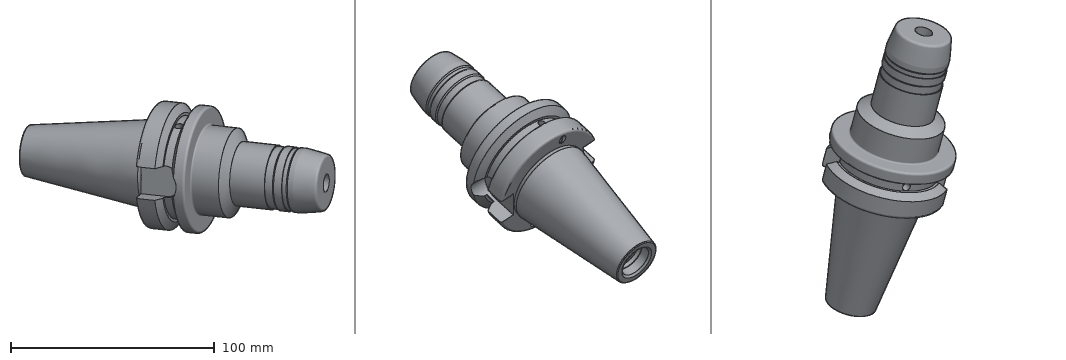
import cadquery as cq
import math

length = 155.4

gauge_radius = 44.5 / 2
neck_radius = 44.0 / 2
taper_slope = 7 / 48
taper_end = 65.1
neck_start = 66.0
taper_edge = 0.5

flange_radius = 63.0 / 2
flange_start = 67.0
flange_end = 92.8
flange_face_round = 1.4
flange_back_round = 1.2
groove_radius = 25.6
groove_corner_radius = 27.0
groove_start = 79.5
groove_end = 84.4
groove_flank_run = (flange_radius - groove_corner_radius) * math.tan(math.radians(30))

body_radius = gauge_radius
body_root_round = 0.8
body_end = 107.2
nose_radius = 32.0 / 2
nose_start = 110.8
nose_taper_start = 143.7
nose_tip_radius = 14.0
nose_bulge_radius = 155.4
nose_tip_round = 1.4
ring_groove_radius = 31.0 / 2
ring_groove_run = 0.8
ring_grooves = [(128.8, 133.6), (137.8, 140.8)]

through_radius = 8.9 / 2
thread_radius = 13.8 / 2
pilot_radius = 17.0 / 2
relief_radius = 17.5 / 2
mouth_chamfer = 1.1
pilot_depth = 6.2
relief_depth = 8.7
thread_depth = 31.1
drill_point_run = (thread_radius - through_radius) / math.tan(math.radians(59))

slot_width = 16.3
slot_end = 88.5
slot_floor = 22.5

port_angle = 20.0
port_diameter = 4.0
feed_diameter = 3.3
port_mouth_depth = 1.9
face_port_radius = 26.9
groove_port_x = 81.9
port_meeting_radius = 17.4


def make_outside():
    taper_mouth_radius = gauge_radius - taper_slope * taper_end
    outline = (
        cq.Workplane("XY")
        .lineTo(0, taper_mouth_radius - taper_edge)
        .lineTo(taper_edge, taper_mouth_radius + taper_slope * taper_edge)
        .lineTo(taper_end, gauge_radius)
        .lineTo(neck_start, neck_radius)
        .lineTo(flange_start, neck_radius)
        .lineTo(flange_start, flange_radius - flange_face_round)
        .radiusArc((flange_start + flange_face_round, flange_radius), flange_face_round)
        .lineTo(groove_start - groove_flank_run, flange_radius)
        .lineTo(groove_start, groove_corner_radius)
        .lineTo(groove_start, groove_radius)
        .lineTo(groove_end, groove_radius)
        .lineTo(groove_end, groove_corner_radius)
        .lineTo(groove_end + groove_flank_run, flange_radius)
        .lineTo(flange_end - flange_back_round, flange_radius)
        .radiusArc((flange_end, flange_radius - flange_back_round), flange_back_round)
        .lineTo(flange_end, body_radius + body_root_round)
        .radiusArc((flange_end + body_root_round, body_radius), -body_root_round)
        .lineTo(body_end, body_radius)
        .lineTo(nose_start, nose_radius)
    )
    for start, end in ring_grooves:
        outline = (
            outline.lineTo(start, nose_radius)
            .lineTo(start, ring_groove_radius)
            .lineTo(end - ring_groove_run, ring_groove_radius)
            .lineTo(end, nose_radius)
        )
    outline = (
        outline.lineTo(nose_taper_start, nose_radius)
        .radiusArc((length, nose_tip_radius), nose_bulge_radius)
        .lineTo(length, 0)
    )
    body = outline.close().revolve(360, (0, 0, 0), (1, 0, 0))
    return body.faces(">X").edges().fillet(nose_tip_round)


def make_bore():
    return (
        cq.Workplane("XY")
        .lineTo(0, pilot_radius + mouth_chamfer)
        .lineTo(mouth_chamfer, pilot_radius)
        .lineTo(pilot_depth, pilot_radius)
        .lineTo(pilot_depth, relief_radius)
        .lineTo(relief_depth, relief_radius)
        .lineTo(relief_depth, thread_radius)
        .lineTo(thread_depth, thread_radius)
        .lineTo(thread_depth + drill_point_run, through_radius)
        .lineTo(length, through_radius)
        .lineTo(length, 0)
        .close()
        .revolve(360, (0, 0, 0), (1, 0, 0))
    )


def make_drive_slot():
    """Round-ended slot on the -Y side, open towards the taper."""
    end_radius = slot_width / 2
    straight_end = slot_end - end_radius
    return (
        cq.Workplane("XZ", origin=(0, -slot_floor, 0))
        .moveTo(flange_start, -end_radius)
        .lineTo(straight_end, -end_radius)
        .threePointArc((slot_end, 0), (straight_end, end_radius))
        .lineTo(flange_start, end_radius)
        .close()
        .extrude(flange_radius)
    )


def drilling(start, end, diameter):
    """Round drilling between two points of the XZ plane."""
    first = cq.Vector(start[0], 0, start[1])
    path = cq.Vector(end[0], 0, end[1]) - first
    return cq.Workplane(cq.Solid.makeCylinder(diameter / 2, path.Length, first, path))


def make_coolant_port():
    """Slanted drilling from the flange face that meets a radial one from the groove."""
    meeting = (groove_port_x, port_meeting_radius)
    slope = (face_port_radius - port_meeting_radius) / (groove_port_x - flange_start)

    def slant_point(depth):
        return (flange_start + depth, face_port_radius - slope * depth)

    mouth = drilling(slant_point(-port_mouth_depth), slant_point(port_mouth_depth), port_diameter)
    feed = drilling(slant_point(0), meeting, feed_diameter)
    radial = drilling((groove_port_x, groove_corner_radius), meeting, port_diameter)
    return mouth.union(feed).union(radial).rotate((0, 0, 0), (1, 0, 0), port_angle)


result = make_outside().cut(make_bore())
for half_turn in (0, 180):
    for cutter in (make_drive_slot(), make_coolant_port()):
        result = result.cut(cutter.rotate((0, 0, 0), (1, 0, 0), half_turn))